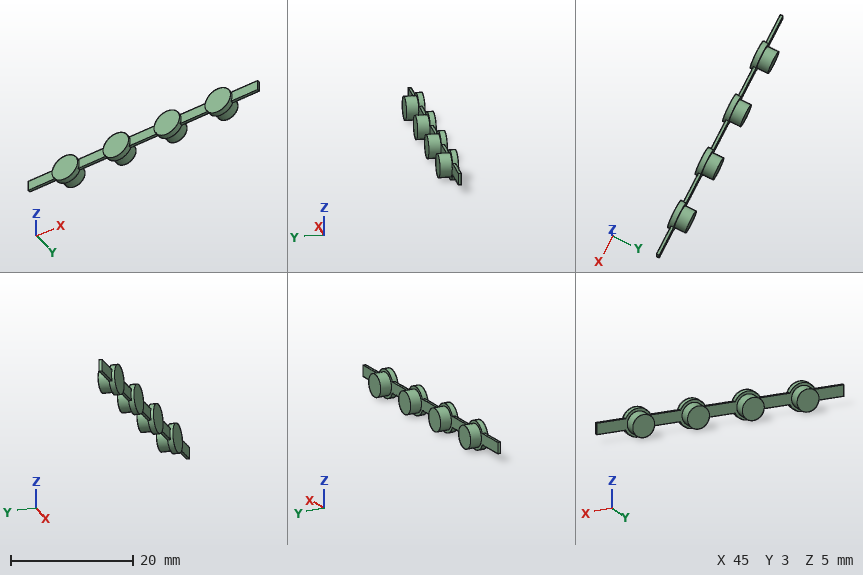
import cadquery as cq

strip_length = 45.0
strip_height = 2.0
strip_thickness = 0.5

total_depth = 3.0
head_diameter = 5.0
head_depth = 1.0
stem_diameter = 4.0
button_count = 4
button_pitch = 10.0


def cylinder_along_y(x, y_start, y_end, diameter):
    """Solid cylinder running in +Y from y_start to y_end, centred on Z = 0."""
    axis_start = cq.Vector(x, y_start, 0)
    axis_direction = cq.Vector(0, 1, 0)
    return cq.Workplane(
        cq.Solid.makeCylinder(diameter / 2, y_end - y_start, axis_start, axis_direction)
    )


def make_button(x):
    head = cylinder_along_y(x, 0, head_depth, head_diameter)
    stem = cylinder_along_y(x, head_depth, total_depth, stem_diameter)
    return head.union(stem)


result = cq.Workplane("XY").box(strip_length, strip_thickness, strip_height).translate(
    (0, head_depth - strip_thickness / 2, 0)
)

for index in range(button_count):
    button_x = (index - (button_count - 1) / 2) * button_pitch
    result = result.union(make_button(button_x))